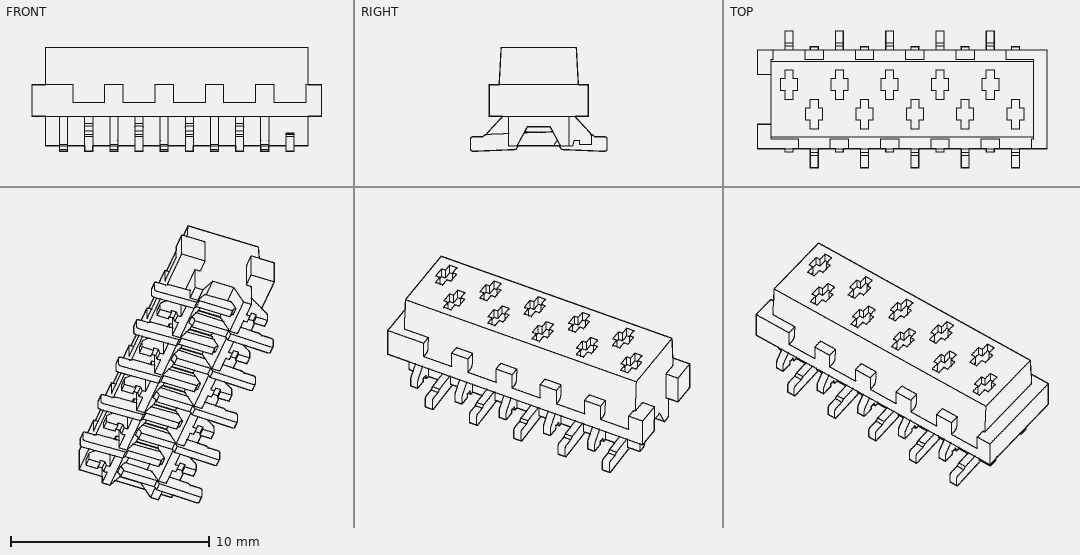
import cadquery as cq

flange_length = 14.63
total_height = 5.25
contact_span = 6.9
contact_count = 10
pitch = 1.27

body_length = 13.25
body_bottom = 0.28
body_top_half_width = 1.9
body_flange_half_width = 2.0
leg_half_width = 1.52
groove_top = 1.25
groove_top_half_width = 0.57
groove_bottom_half_width = 1.1

flange_bottom = 1.77
flange_top = 3.36
flange_half_width = 2.5
flange_overhang = (flange_length - body_length) / 2
end_gap_width = 2.49
notch_width = 1.61
notch_floor = 2.47
notch_fillet = 0.23

socket_row_offset = 0.75
socket_depth = 0.51
socket_long = (0.41, 2 * socket_row_offset)
socket_wide = (0.86, 0.6)

contact_thickness = 0.41
contact_tilt = 0.042
contact_mid_top = 0.97
foot_end = contact_span / 2
foot_step = 2.69
foot_top = 0.75
foot_tip_radius = 0.13
foot_tip_flat = 0.22
foot_heel = 1.15
short_end = 2.66
short_end_bottom = 0.35
short_end_top = 0.86
short_end_radius = 0.29
web_top = 1.83
web_root = 1.46
web_slope_top = 1.77
foot_step_run = 0.15
heel_run = 0.13
relief_start = 0.79
relief_mid = (0.83, 0.44)
relief_end = 0.97
relief_top = 0.54
end_notch_inner = 1.71
end_notch_lean = 0.07
end_notch_outer = 2.05

slot_bottom = 0.59
slot_wall = 1.25
slot_hook_wall = 1.32
slot_hook_top = 1.29
slot_hook_depth = 0.07
slot_chamfer_top = 1.42
low_slot_top = 0.94
low_slot_wall = 1.23

wall_taper = (body_flange_half_width - body_top_half_width) / (total_height - flange_top)


def wall_half_width(z):
    """Half width of the tapered housing at height z."""
    return body_top_half_width + wall_taper * (total_height - z)


def contact_top(y):
    """Height of the tilted upper edge of a contact plate."""
    return contact_mid_top - contact_tilt * y


def profile(points):
    """Closed outline in the YZ plane."""
    return cq.Workplane("YZ").polyline(points).close()


def mirrored_profile(half_points):
    """Outline symmetric about Y = 0, from the points of its +Y half."""
    return profile(half_points + [(-y, z) for y, z in reversed(half_points)])


def on_side(solid, x, side):
    """Move a shape modelled for +Y to position x, turned to -Y when side is -1."""
    if side < 0:
        solid = solid.mirror("XZ")
    return solid.translate((x, 0, 0))


def make_body():
    outline = mirrored_profile([
        (groove_top_half_width, groove_top),
        (groove_bottom_half_width, body_bottom),
        (leg_half_width, body_bottom),
        (leg_half_width, flange_bottom),
        (wall_half_width(flange_bottom), flange_bottom),
        (body_top_half_width, total_height),
    ])
    return outline.extrude(body_length / 2, both=True)


def make_flange():
    height = flange_top - flange_bottom
    plate = cq.Workplane().box(flange_length, 2 * flange_half_width, height)
    inside = cq.Workplane().box(body_length, 2 * leg_half_width, height)
    gap = cq.Workplane().box(flange_overhang, end_gap_width, height)
    gap = gap.translate((-(body_length + flange_overhang) / 2, 0, 0))
    return plate.cut(inside).cut(gap).translate((0, 0, flange_bottom + height / 2))


def make_notch():
    """Cutter that opens the flange edge down to the notch floor, rounded into the housing wall."""
    cutter = profile([
        (flange_half_width, notch_floor),
        (wall_half_width(notch_floor), notch_floor),
        (wall_half_width(flange_top), flange_top),
        (flange_half_width, flange_top),
    ]).extrude(notch_width / 2, both=True)
    return cutter.edges("|X and <Z").edges("<Y").fillet(notch_fillet)


def make_socket():
    floor = cq.Workplane("XY").workplane(offset=total_height - socket_depth)
    long_bar = floor.rect(*socket_long).extrude(socket_depth)
    wide_bar = floor.rect(*socket_wide).extrude(socket_depth)
    return long_bar.union(wide_bar).translate((0, socket_row_offset, 0))


def make_slot():
    """Deep slot from the foot side to the far leg, its back wall hollowed by a round undercut."""
    slot_hook_bottom = contact_top(-slot_hook_wall)
    hook_middle = (slot_hook_bottom + slot_hook_top) / 2
    outline = (
        cq.Workplane("YZ")
        .moveTo(leg_half_width, slot_bottom)
        .lineTo(leg_half_width, flange_bottom)
        .lineTo(-slot_wall, flange_bottom)
        .lineTo(-slot_wall, slot_chamfer_top)
        .lineTo(-slot_hook_wall, slot_hook_top)
        .threePointArc((-slot_hook_wall - slot_hook_depth, hook_middle), (-slot_hook_wall, slot_hook_bottom))
        .close()
    )
    return outline.extrude(contact_thickness / 2, both=True)


def make_low_slot():
    """Low slot that only clears the upper edge of the contact."""
    outline = profile([
        (leg_half_width, slot_bottom),
        (leg_half_width, low_slot_top),
        (low_slot_wall, low_slot_top),
        (low_slot_wall, slot_bottom),
    ])
    return outline.extrude(contact_thickness / 2, both=True)


def make_contact():
    """Contact plate with its long foot toward +Y."""
    tip_flat_start = foot_end - foot_tip_flat
    plate = (
        cq.Workplane("YZ")
        .moveTo(foot_end, foot_top)
        .lineTo(foot_end, 0)
        .lineTo(tip_flat_start, 0)
        .lineTo(foot_heel, contact_tilt * (tip_flat_start - foot_heel))
        .lineTo(foot_heel - heel_run, body_bottom)
        .lineTo(-relief_start, body_bottom)
        .threePointArc((-relief_mid[0], relief_mid[1]), (-relief_end, relief_top))
        .lineTo(-web_root, relief_top)
        .lineTo(-web_root, body_bottom)
        .lineTo(-end_notch_inner, body_bottom)
        .lineTo(-end_notch_inner - end_notch_lean, relief_top)
        .lineTo(-end_notch_outer, relief_top)
        .lineTo(-end_notch_outer, short_end_bottom)
        .lineTo(-short_end, short_end_bottom)
        .lineTo(-short_end, short_end_top)
        .lineTo(-web_slope_top, web_top)
        .lineTo(-web_root, web_top)
        .lineTo(-web_root, contact_top(-web_root))
        .lineTo(foot_step, contact_top(foot_step))
        .lineTo(foot_step + foot_step_run, foot_top)
        .close()
        .extrude(contact_thickness / 2, both=True)
    )
    plate = plate.edges("|X and >Y").fillet(foot_tip_radius)
    return plate.edges("|X and <Y").edges(">Z").fillet(short_end_radius)


result = make_body().union(make_flange())

notch = make_notch()
socket = make_socket()
slot = make_slot()
low_slot = make_low_slot()
contact = make_contact()

for index in range(contact_count):
    contact_x = (index - (contact_count - 1) / 2) * pitch
    row_side = 1 if index % 2 == 0 else -1
    is_outermost = index in (0, contact_count - 1)
    leg_slot = low_slot if is_outermost else slot
    for cutter in (notch, socket, leg_slot):
        result = result.cut(on_side(cutter, contact_x, row_side))
    result = result.union(on_side(contact, contact_x, row_side))